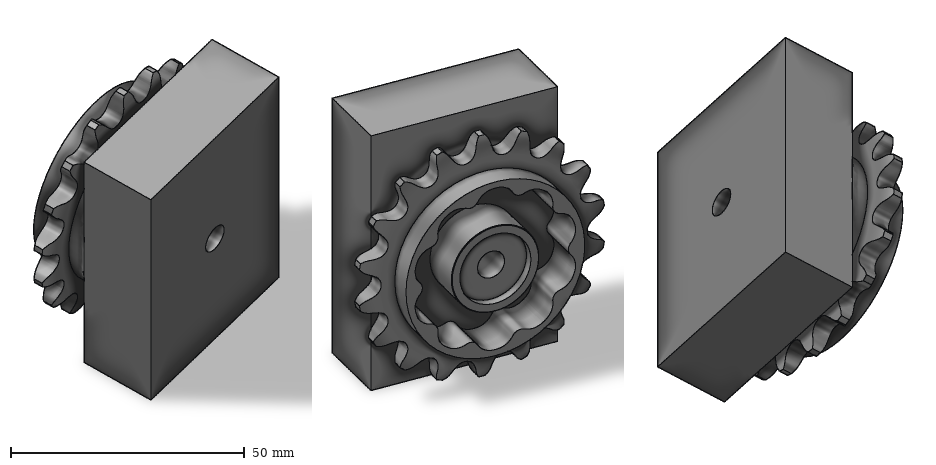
import cadquery as cq
import math


block_thickness = 18.0
block_width = 45.0
block_height = 63.15

hub_length = 14.35
hub_radius = 21.55
hub_fillet = 3.0

tooth_count = 18
chain_pitch = 9.525
roller_diameter = 5.08
sprocket_width = 4.35
sprocket_offset = 4.85
tip_width = 2.2
tooth_base_radius = 25.0

half_tooth_angle = 180 / tooth_count
pitch_radius = chain_pitch / 2 / math.sin(math.radians(half_tooth_angle))
ansi_tip_factor = 0.6
tip_radius = chain_pitch * (ansi_tip_factor + 1 / math.tan(math.radians(half_tooth_angle))) / 2

pocket_depth = 10.0
lobe_count = 10
lobe_outer_radius = 20.0
ridge_inner_radius = 17.6
crown_half_angle = 1.2
shoulder_radius = 4.5

boss_radius = 10.55
boss_chamfer = 0.15
recess_radius = 8.55
recess_depth = 2.0
bore_radius = 3.25


def polar(radius, degrees, center=(0, 0)):
    """Point at a radius and an angle, measured from +X of the sketch, around a center."""
    angle = math.radians(degrees)
    return (center[0] + radius * math.cos(angle), center[1] + radius * math.sin(angle))


def cross_section(x):
    """Sketch plane across the axis; sketch x runs along +Y and sketch y along +Z."""
    return cq.Workplane("YZ", origin=(x, 0, 0))


def cylinder(radius, x_start, length):
    return cross_section(x_start).circle(radius).extrude(length)


def make_block():
    return cross_section(0).rect(block_width, block_height).extrude(block_thickness)


def make_tooth_gap():
    """Cutter for the gap centered on +Z, following the ANSI tooth form on both flanks.

    The bare numbers in the first lines are the constants of the ANSI tooth form.
    """
    seat_angle = 35 + 60 / tooth_count
    working_angle = 18 - 56 / tooth_count
    seat_clearance = 0.0381
    seat_radius = 0.5025 * roller_diameter + seat_clearance
    working_offset = 0.8 * roller_diameter
    working_radius = seat_radius + working_offset
    topping_offset = 1.4 * roller_diameter
    topping_angle = 17 - 64 / tooth_count
    flank_overrun = 0.4
    straight_length = (topping_offset * math.sin(math.radians(topping_angle))
                       - working_offset * math.sin(math.radians(working_angle)))

    seat_center = (0, pitch_radius)
    seat_bottom = polar(seat_radius, -90, seat_center)
    seat_end = polar(seat_radius, -seat_angle, seat_center)
    working_center = polar(working_offset, 180 - seat_angle, seat_center)
    flank_angle = working_angle - seat_angle
    working_middle = polar(working_radius, flank_angle - working_angle / 2, working_center)
    working_end = polar(working_radius, flank_angle, working_center)
    straight_end = polar(straight_length, flank_angle + 90, working_end)

    topping_center = polar(topping_offset, -half_tooth_angle, seat_center)
    topping_radius = math.dist(topping_center, straight_end)
    center_distance = math.hypot(*topping_center)
    inward_angle = math.degrees(math.atan2(-topping_center[1], -topping_center[0]))
    cutter_radius = tip_radius + flank_overrun
    cosine = ((center_distance**2 + topping_radius**2 - cutter_radius**2)
              / (2 * center_distance * topping_radius))
    end_angle = inward_angle - math.degrees(math.acos(cosine)) + 360
    start_angle = flank_angle + 180
    topping_end = polar(topping_radius, end_angle, topping_center)
    topping_middle = polar(topping_radius, (start_angle + end_angle) / 2, topping_center)

    def mirrored(point):
        return (-point[0], point[1])

    outline = (
        cross_section(-sprocket_offset - sprocket_width)
        .moveTo(*seat_end)
        .threePointArc(working_middle, working_end)
        .lineTo(*straight_end)
        .threePointArc(topping_middle, topping_end)
        .lineTo(0, cutter_radius + flank_overrun)
        .lineTo(*mirrored(topping_end))
        .threePointArc(mirrored(topping_middle), mirrored(straight_end))
        .lineTo(*mirrored(working_end))
        .threePointArc(mirrored(working_middle), mirrored(seat_end))
        .threePointArc(seat_bottom, seat_end)
        .close()
    )
    return outline.extrude(sprocket_width)


def make_sprocket_blank():
    """Turned disc whose sides curve inward toward the tooth tips."""
    half_width = sprocket_width / 2
    half_tip = tip_width / 2
    middle_x = -sprocket_offset - half_width
    taper_height = tip_radius - tooth_base_radius
    taper_depth = half_width - half_tip
    taper_radius = (taper_height**2 + taper_depth**2) / (2 * taper_depth)
    half_sweep = math.degrees(math.asin(taper_height / taper_radius)) / 2
    front_middle = polar(taper_radius, 180 - half_sweep,
                         (middle_x - half_width + taper_radius, tooth_base_radius))
    back_middle = (2 * middle_x - front_middle[0], front_middle[1])
    profile = (
        cq.Workplane("XZ")
        .moveTo(middle_x - half_width, 0)
        .lineTo(middle_x - half_width, tooth_base_radius)
        .threePointArc(front_middle, (middle_x - half_tip, tip_radius))
        .lineTo(middle_x + half_tip, tip_radius)
        .threePointArc(back_middle, (middle_x + half_width, tooth_base_radius))
        .lineTo(middle_x + half_width, 0)
        .close()
    )
    return profile.revolve(360, (0, 0, 0), (1, 0, 0))


def make_sprocket():
    """A tooth points along +Z; the gaps lie half a tooth to either side of it."""
    sprocket = make_sprocket_blank()
    gap = make_tooth_gap()
    for index in range(tooth_count):
        turn = (2 * index + 1) * half_tooth_angle
        sprocket = sprocket.cut(gap.rotate((0, 0, 0), (1, 0, 0), turn))
    return sprocket


def make_lobed_pocket():
    """Pocket of lobes joined by tangent rounded ridges; one lobe points along +Z.

    Each lobe is a short crown arc about the part axis with a rounded shoulder on both sides.
    """
    half_lobe = 180 / lobe_count
    shoulder_distance = lobe_outer_radius - shoulder_radius
    cosine = math.cos(math.radians(half_lobe - crown_half_angle))
    ridge_radius = (
        (shoulder_distance**2 + ridge_inner_radius**2
         - 2 * shoulder_distance * ridge_inner_radius * cosine - shoulder_radius**2)
        / (2 * (shoulder_radius - ridge_inner_radius + shoulder_distance * cosine))
    )
    ridge_distance = ridge_inner_radius + ridge_radius
    tangent_fraction = shoulder_radius / (shoulder_radius + ridge_radius)

    def shoulder_arc(shoulder_angle, ridge_angle):
        """Crown end, middle and ridge end of the shoulder facing a ridge."""
        center = polar(shoulder_distance, shoulder_angle)
        ridge_center = polar(ridge_distance, ridge_angle)
        ridge_offset = (ridge_center[0] - center[0], ridge_center[1] - center[1])
        ridge_direction = math.degrees(math.atan2(ridge_offset[1], ridge_offset[0]))
        sweep = (ridge_direction - shoulder_angle + 180) % 360 - 180
        crown_end = polar(lobe_outer_radius, shoulder_angle)
        middle = polar(shoulder_radius, shoulder_angle + sweep / 2, center)
        ridge_end = (center[0] + ridge_offset[0] * tangent_fraction,
                     center[1] + ridge_offset[1] * tangent_fraction)
        return crown_end, middle, ridge_end

    outline = cross_section(-hub_length).moveTo(*polar(lobe_outer_radius, 90 - crown_half_angle))
    for index in range(lobe_count):
        lobe_angle = 90 + 2 * half_lobe * index
        ridge_angle = lobe_angle + half_lobe
        next_lobe_angle = ridge_angle + half_lobe
        crown_end, middle, ridge_start = shoulder_arc(lobe_angle + crown_half_angle, ridge_angle)
        next_crown, next_middle, ridge_end = shoulder_arc(next_lobe_angle - crown_half_angle, ridge_angle)
        outline = (
            outline
            .threePointArc(polar(lobe_outer_radius, lobe_angle), crown_end)
            .threePointArc(middle, ridge_start)
            .threePointArc(polar(ridge_inner_radius, ridge_angle), ridge_end)
            .threePointArc(next_middle, next_crown)
        )
    return outline.close().extrude(pocket_depth)


def make_boss():
    boss = cylinder(boss_radius, -hub_length, pocket_depth)
    return boss.faces("<X").chamfer(boss_chamfer)


def make_body():
    """Block and hub, with the fillet at the hub root rolling onto the edges of the block."""
    body = make_block().union(cylinder(hub_radius, -hub_length, hub_length))
    mounting_face = body.faces("<X[1]")
    return mounting_face.edges("%CIRCLE").fillet(hub_fillet)


part = make_body().union(make_sprocket())
part = part.cut(make_lobed_pocket()).union(make_boss())
part = part.cut(cylinder(recess_radius, -hub_length, recess_depth))
result = part.cut(cylinder(bore_radius, -hub_length, hub_length + block_thickness))